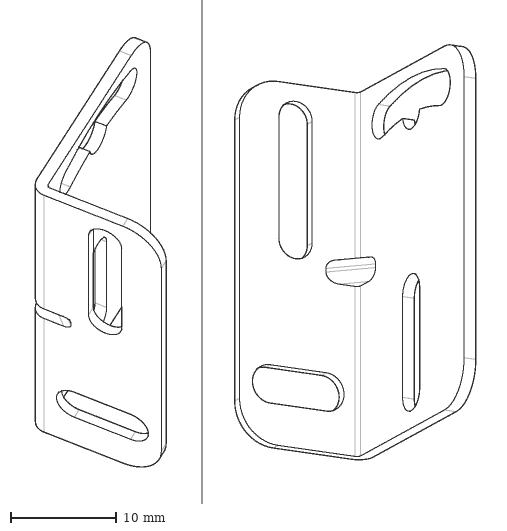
import cadquery as cq
import math

front_length = 13.95
side_length = 23.0
height = 36.0
front_thickness = 1.05
side_thickness = 1.25
bend_outer_radius = 1.48
bend_inner_radius = 0.4
corner_radius = 4.1

slot_width = 3.53
front_upper_slot_x = 8.0
front_upper_slot_z = 26.5
front_upper_slot_length = 15.55
front_lower_slot_x = 7.7
front_lower_slot_z = 5.97
front_lower_slot_length = 9.75
front_lower_slot_width = 3.78
side_slot_y = 11.95
side_slot_z = 8.5
side_slot_length = 13.5

swing_radius = 24.45
swing_half_chord = 6.37
notch_z = 31.4

rib_z = height / 2
rib_flat = 0.35
groove_radius = 0.55
groove_leg = 4.35
ridge_radius = 1.0
ridge_leg = 3.5


def upright(wire):
    return wire.extrude(height)


def flange_corners(plane, length, depth):
    """Plate with its two free corners rounded, used to trim one flange."""
    return (
        cq.Workplane(plane)
        .rect(2 * length, height)
        .extrude(depth)
        .edges("|Y" if plane == "XZ" else "|X")
        .fillet(corner_radius)
        .translate((0, 0, height / 2))
    )


def make_angle():
    outer = upright(cq.Workplane("XY").rect(front_length, side_length, centered=False))
    outer = outer.edges("|Z and <X and <Y").fillet(bend_outer_radius)
    inner = upright(
        cq.Workplane("XY")
        .moveTo(side_thickness, front_thickness)
        .rect(front_length, side_length, centered=False)
    )
    inner = inner.edges("|Z and <X and <Y").fillet(bend_inner_radius)
    angle = outer.cut(inner)
    front_trim = flange_corners("XZ", front_length, -side_length)
    side_trim = flange_corners("YZ", side_length, front_length)
    return angle.intersect(front_trim).intersect(side_trim)


def rib_bar(leg_sum, radius):
    """Bar lying across the bend; its rounded tip ends on the plane x + y = leg_sum."""
    tip = leg_sum / math.sqrt(2)
    half_height = rib_flat / 2 + radius
    bar_length = 2 * leg_sum
    bar = cq.Workplane("XY").box(tip, bar_length, 2 * half_height, centered=(False, True, True))
    bar = bar.edges(">X and |Y").fillet(radius)
    return bar.rotate((0, 0, 0), (0, 0, 1), 45).translate((0, 0, rib_z))


def make_ridge():
    quadrant = upright(
        cq.Workplane("XY")
        .moveTo(side_thickness / 2, front_thickness / 2)
        .rect(front_length, side_length, centered=False)
    )
    return rib_bar(ridge_leg + side_thickness + front_thickness, ridge_radius).intersect(quadrant)


def front_slot(x, z, length, width, angle):
    return (
        cq.Workplane("XZ")
        .center(x, z)
        .slot2D(length, width, angle)
        .extrude(-front_thickness)
    )


def side_slot():
    return (
        cq.Workplane("YZ")
        .center(side_slot_y, side_slot_z)
        .slot2D(side_slot_length, slot_width, 90)
        .extrude(side_thickness)
    )


def curved_slot():
    half_width = slot_width / 2
    outer_radius = swing_radius + half_width
    inner_radius = swing_radius - half_width
    swing_angle = math.asin(swing_half_chord / swing_radius)

    def polar(radius, angle):
        return radius * math.sin(angle), radius * math.cos(angle)

    def end_tip(side):
        along = half_width * math.cos(swing_angle)
        drop = half_width * math.sin(swing_angle)
        y, z = polar(swing_radius, side * swing_angle)
        return y + side * along, z - drop

    slot = (
        cq.Workplane("YZ")
        .center(side_slot_y, side_slot_z)
        .moveTo(*polar(outer_radius, -swing_angle))
        .threePointArc((0, outer_radius), polar(outer_radius, swing_angle))
        .threePointArc(end_tip(1), polar(inner_radius, swing_angle))
        .threePointArc((0, inner_radius), polar(inner_radius, -swing_angle))
        .threePointArc(end_tip(-1), polar(outer_radius, -swing_angle))
        .close()
        .extrude(side_thickness)
    )
    notch = cq.Workplane("YZ").center(side_slot_y, notch_z).circle(half_width).extrude(side_thickness)
    return slot.union(notch)


bracket = make_angle().union(make_ridge())
bracket = bracket.cut(rib_bar(groove_leg, groove_radius))
bracket = bracket.cut(
    front_slot(front_upper_slot_x, front_upper_slot_z, front_upper_slot_length, slot_width, 90)
)
bracket = bracket.cut(
    front_slot(front_lower_slot_x, front_lower_slot_z, front_lower_slot_length, front_lower_slot_width, 0)
)
bracket = bracket.cut(side_slot())
result = bracket.cut(curved_slot())